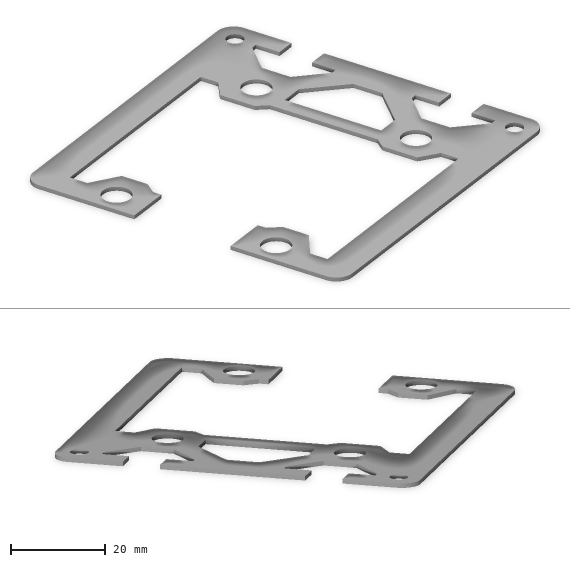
import cadquery as cq

side = 80.0
half = side / 2
thickness = 1.0
corner_radius = 4.0

corner_hole_diameter = 4.0
corner_hole_inset = 5.0
rod_hole_diameter = 6.8
rod_x = side / 4
upper_rod_y = side / 4
lower_rod_y = -34.6

slot_mouth_width = 8.2
slot_inner_width = 20.0
slot_floor_width = 7.2
slot_lip_depth = 4.6
slot_wall_depth = 6.1
slot_floor_depth = 12.3

window_width = 24.2
window_top_width = 7.2
window_top_y = half - 7.7
window_shoulder_y = half - 15.8
window_bottom_y = half - 21.3

opening_half_width = 32.3
opening_top_y = half - 22.6
opening_bottom_y = -half + 6.3
ramp_start_x = 27.9
gap_half_width = window_width / 2

upper_boss_outer_x = 24.7
upper_boss_inner_x = 16.0
upper_boss_y = half - 26.9
bridge_half_width = 13.5
bridge_y = half - 24.9
lower_boss_outer_x = 23.4
lower_boss_inner_x = 17.0
lower_boss_y = -half + 12.8
lower_step_x = 14.2
lower_step_y = -half + 10.6


def symmetric_cutter(right_points, center_x=0.0):
    """Prism whose outline is the given right half and its mirror image."""
    left_points = [(-x, y) for x, y in reversed(right_points)]
    outline = [(center_x + x, y) for x, y in right_points + left_points]
    return cq.Workplane("XY").polyline(outline).close().extrude(thickness)


def t_slot(center_x):
    return symmetric_cutter(
        [
            (slot_mouth_width / 2, half),
            (slot_mouth_width / 2, half - slot_lip_depth),
            (slot_inner_width / 2, half - slot_lip_depth),
            (slot_inner_width / 2, half - slot_wall_depth),
            (slot_floor_width / 2, half - slot_floor_depth),
        ],
        center_x,
    )


def window():
    return symmetric_cutter(
        [
            (window_top_width / 2, window_top_y),
            (window_width / 2, window_shoulder_y),
            (window_width / 2, window_bottom_y),
        ]
    )


def main_opening():
    return symmetric_cutter(
        [
            (bridge_half_width, bridge_y),
            (upper_boss_inner_x, upper_boss_y),
            (upper_boss_outer_x, upper_boss_y),
            (ramp_start_x, opening_top_y),
            (opening_half_width, opening_top_y),
            (opening_half_width, opening_bottom_y),
            (ramp_start_x, opening_bottom_y),
            (lower_boss_outer_x, lower_boss_y),
            (lower_boss_inner_x, lower_boss_y),
            (lower_step_x, lower_step_y),
            (gap_half_width, lower_step_y),
            (gap_half_width, -half),
        ]
    )


def round_hole(x, y, diameter):
    return cq.Workplane("XY").center(x, y).circle(diameter / 2).extrude(thickness)


plate = cq.Workplane("XY").rect(side, side).extrude(thickness)
plate = plate.edges("|Z").fillet(corner_radius)
plate = plate.cut(window()).cut(main_opening())

corner_hole_offset = half - corner_hole_inset
for direction in (-1, 1):
    plate = plate.cut(t_slot(direction * rod_x))
    plate = plate.cut(round_hole(direction * corner_hole_offset, corner_hole_offset, corner_hole_diameter))
    for rod_y in (upper_rod_y, lower_rod_y):
        plate = plate.cut(round_hole(direction * rod_x, rod_y, rod_hole_diameter))

result = plate